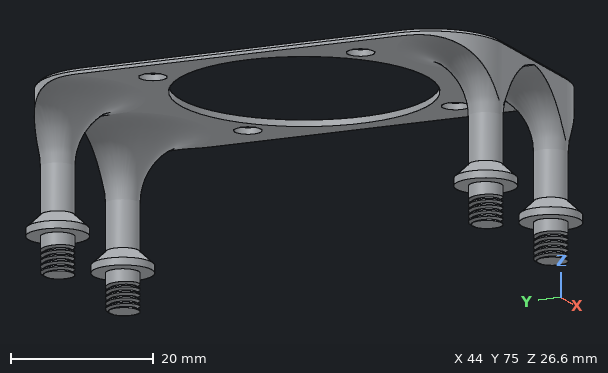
import cadquery as cq

plate_width = 44.0
plate_length = 71.0
plate_thickness = 1.0
plate_corner_radius = 11.0
edge_chamfer = 0.5
bore_diameter = 38.0
screw_hole_diameter = 4.0
screw_hole_spacing = 32.0

overall_length = 75.0
overall_height = 26.6
leg_diameter = 4.9
collar_diameter = 9.0
flare_radius = 10.0
leg_spacing_x = plate_width - 2 * plate_corner_radius
leg_spacing_y = overall_length - collar_diameter

flare_bottom = -plate_thickness - flare_radius
collar_bottom = -21.0
collar_rim_height = 1.1
collar_cone_height = 1.95
cone_bottom = collar_bottom + collar_rim_height
cone_top = cone_bottom + collar_cone_height

thread_pitch = 0.8
thread_depth = 0.45
thread_top = -22.8
thread_turns = 6
groove_width = 0.9 * thread_pitch
groove_overshoot = 0.1

leg_radius = leg_diameter / 2
collar_radius = collar_diameter / 2


def rounded_block(height):
    """Block with the plate outline, hanging down from Z = 0."""
    block = cq.Workplane("XY").rect(plate_width, plate_length).extrude(-height)
    return block.edges("|Z").fillet(plate_corner_radius)


def at_legs(shape):
    """One copy of the shape on each of the four leg axes, fused together."""
    centers = cq.Workplane("XY").rect(leg_spacing_x, leg_spacing_y, forConstruction=True).vertices()
    return centers.eachpoint(shape.val(), combine=False).combine()


def make_flare():
    """Trumpet that blends a leg into the underside of the plate."""
    flare_rim = leg_radius + flare_radius
    arc_offset = flare_radius * (1 - 0.5 ** 0.5)
    return (
        cq.Workplane("XZ")
        .lineTo(flare_rim, 0)
        .lineTo(flare_rim, -plate_thickness)
        .threePointArc(
            (leg_radius + arc_offset, -plate_thickness - arc_offset),
            (leg_radius, flare_bottom),
        )
        .lineTo(0, flare_bottom)
        .close()
        .revolve(360, (0, 0), (0, 1))
    )


def make_thread_groove():
    """Right-handed V groove that runs out through the bottom of a leg."""
    height = thread_turns * thread_pitch
    path = cq.Workplane(cq.Wire.makeHelix(thread_pitch, height, leg_radius))
    half_width = groove_width / 2
    outer = leg_radius + groove_overshoot
    groove = (
        cq.Workplane("XZ")
        .moveTo(outer, -half_width)
        .lineTo(leg_radius - thread_depth, 0)
        .lineTo(outer, half_width)
        .close()
        .sweep(path, isFrenet=True)
    )
    return groove.translate((0, 0, thread_top - height))


def make_leg():
    """Straight leg with a conical collar and a threaded tip."""
    leg = (
        cq.Workplane("XZ")
        .moveTo(0, flare_bottom)
        .lineTo(leg_radius, flare_bottom)
        .lineTo(leg_radius, cone_top)
        .lineTo(collar_radius, cone_bottom)
        .lineTo(collar_radius, collar_bottom)
        .lineTo(leg_radius, collar_bottom)
        .lineTo(leg_radius, -overall_height)
        .lineTo(0, -overall_height)
        .close()
        .revolve(360, (0, 0), (0, 1))
    )
    return leg.cut(make_thread_groove())


flares = at_legs(make_flare()).intersect(rounded_block(overall_height))
body = rounded_block(plate_thickness).union(flares)
body = body.faces(">Z").edges().chamfer(edge_chamfer)

body = body.faces(">Z").workplane(origin=(0, 0, 0)).hole(bore_diameter)
body = (
    body.faces(">Z")
    .workplane(origin=(0, 0, 0))
    .rect(screw_hole_spacing, screw_hole_spacing, forConstruction=True)
    .vertices()
    .hole(screw_hole_diameter)
)

result = body.union(at_legs(make_leg()))